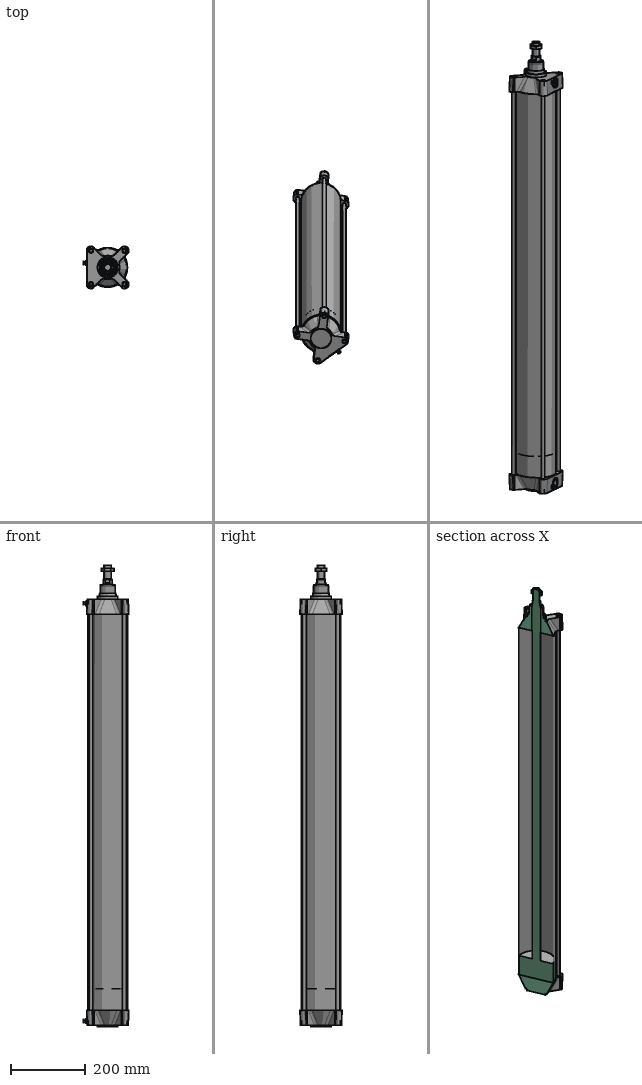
import cadquery as cq
import math

bore = 100.0
tube_diameter = 106.0
stroke = 1000.0
dead_length = 138.0
body_length = stroke + dead_length
head_length = 40.0
piston_length = dead_length - 2 * head_length

block_half = 52.0
corner_half = 56.5
corner_inner = 38.0
corner_radius = 12.0
corner_draft = 2.0
arm_half_width = 11.0
pocket_fillet = 8.0
cone_outer_radius = 32.0
tie_rod_spacing = 89.0
tie_rod_diameter = 10.0
mount_hole_diameter = 8.9
mount_hole_depth = 20.0
mount_recess_diameter = 12.0
mount_recess_depth = 1.0

port_diameter = 18.6
port_depth = 16.0
port_recess_diameter = 27.0
port_recess_depth = 2.5
port_y = -6.5
port_inset = 17.0
screw_y = 12.0
screw_inset = 11.0
screw_boss_diameter = 12.0
screw_boss_height = 2.0
screw_boss_root = 4.0
screw_shank_diameter = 6.0
screw_head_diameter = 8.9
screw_head_length = 1.5
screw_tip = 65.5

collar_diameter = 55.0
bottom_collar_height = 4.0
top_collar_height = 8.0
guide_diameter = 41.0
guide_shoulder = 16.0
guide_foot_top_diameter = 43.0
guide_foot_diameter = 46.0
guide_height = 38.0
guide_chamfer_width = 1.0
guide_chamfer_height = 4.0
wiper_diameter = 27.0
wiper_height = 39.5

rod_diameter = 25.0
rod_shoulder = 54.0
rod_shoulder_chamfer = 2.4
flats_width = 22.0
flats_length = 10.0
thread_diameter = 20.0
thread_length = 37.0
thread_chamfer = 1.0
nut_across_flats = 30.0
nut_thickness = 9.0
nut_chamfer_width = 2.3
nut_chamfer_height = 1.3
nut_end_gap = 8.0


def cylinder(diameter, z_start, z_end):
    return cq.Workplane("XY").workplane(offset=z_start).circle(diameter / 2).extrude(z_end - z_start)


def side_cylinder(diameter, y, z, x_start, x_end):
    plane = cq.Plane(origin=(x_start, y, z), xDir=(0, 1, 0), normal=(1, 0, 0))
    return cq.Workplane(plane).circle(diameter / 2).extrude(x_end - x_start)


def tie_rod_pattern(diameter, z_start, z_end):
    """Four cylinders on the tie rod centres."""
    return (
        cq.Workplane("XY")
        .workplane(offset=z_start)
        .rect(tie_rod_spacing, tie_rod_spacing, forConstruction=True)
        .vertices()
        .circle(diameter / 2)
        .extrude(z_end - z_start)
    )


def corner_boss():
    """Drafted square boss at the +X +Y corner, widest at the tube side (Z = head_length)."""
    size = corner_half - corner_inner
    centre = (corner_half + corner_inner) / 2
    return (
        cq.Workplane("XY")
        .workplane(offset=head_length)
        .center(centre, centre)
        .rect(size, size)
        .extrude(-head_length, taper=corner_draft)
        .edges(">(1, 1, 0)")
        .fillet(corner_radius)
    )


def side_pocket():
    """Pocket between two diagonal arms on the +X side, with a conical floor."""
    start = arm_half_width * math.sqrt(2)
    end = tube_diameter
    wedge = (
        cq.Workplane("XY")
        .moveTo(start, 0)
        .lineTo(end, end - start)
        .lineTo(end, start - end)
        .close()
        .extrude(head_length)
    )
    cone = cq.Workplane(
        cq.Solid.makeCone(cone_outer_radius, tube_diameter / 2, head_length)
    )
    return wedge.cut(cone).edges("%HYPERBOLA").fillet(pocket_fillet)


def make_head():
    """Bottom head: outer face at Z = 0, tube side at Z = head_length."""
    head = cq.Workplane("XY").rect(2 * block_half, 2 * block_half).extrude(head_length)
    head = head.union(cylinder(tube_diameter, 0, head_length))
    for turn in range(4):
        head = head.union(corner_boss().rotate((0, 0, 0), (0, 0, 1), 90 * turn))
    port_pad = (
        cq.Workplane("XY")
        .workplane(offset=head_length)
        .center(-corner_half / 2, 0)
        .rect(corner_half, 2 * (corner_half - corner_radius))
        .extrude(-head_length, taper=corner_draft)
    )
    head = head.union(port_pad)
    for angle in (-90, 0, 90):
        head = head.cut(side_pocket().rotate((0, 0, 0), (0, 0, 1), angle))

    for diameter, depth in (
        (mount_hole_diameter, mount_hole_depth),
        (mount_recess_diameter, mount_recess_depth),
    ):
        head = head.cut(tie_rod_pattern(diameter, 0, depth))

    port = side_cylinder(port_diameter, port_y, port_inset, -corner_half, port_depth - corner_half)
    port_recess = side_cylinder(
        port_recess_diameter, port_y, port_inset, -corner_half, port_recess_depth - corner_half
    )
    head = head.cut(port).cut(port_recess)

    boss_end = -corner_half - screw_boss_height
    for diameter, x_start, x_end in (
        (screw_boss_diameter, boss_end, screw_boss_root - corner_half),
        (screw_shank_diameter, -screw_tip, boss_end),
        (screw_head_diameter, -screw_tip, screw_head_length - screw_tip),
    ):
        head = head.union(side_cylinder(diameter, screw_y, screw_inset, x_start, x_end))
    return head


def make_housing():
    bottom_head = make_head()
    top_head = make_head().mirror("XY").translate((0, 0, body_length))
    tube = cylinder(tube_diameter, head_length, body_length - head_length)
    tie_rods = tie_rod_pattern(tie_rod_diameter, head_length, body_length - head_length)
    bottom_collar = cylinder(collar_diameter, -bottom_collar_height, 0)
    guide = (
        cq.Workplane("XZ")
        .moveTo(0, body_length)
        .lineTo(collar_diameter / 2, body_length)
        .lineTo(collar_diameter / 2, body_length + top_collar_height)
        .lineTo(guide_foot_diameter / 2, body_length + top_collar_height)
        .lineTo(guide_foot_top_diameter / 2, body_length + guide_shoulder)
        .lineTo(guide_diameter / 2, body_length + guide_shoulder)
        .lineTo(guide_diameter / 2, body_length + guide_height - guide_chamfer_height)
        .lineTo(guide_diameter / 2 - guide_chamfer_width, body_length + guide_height)
        .lineTo(wiper_diameter / 2, body_length + guide_height)
        .lineTo(wiper_diameter / 2, body_length + wiper_height)
        .lineTo(0, body_length + wiper_height)
        .close()
        .revolve(360, (0, 0, 0), (0, 1, 0))
    )
    housing = tube.union(tie_rods).union(bottom_head).union(top_head)
    housing = housing.union(bottom_collar).union(guide)
    chamber = cylinder(bore, head_length, body_length - head_length)
    rod_hole = cylinder(rod_diameter, body_length - head_length, body_length + wiper_height)
    return housing.cut(chamber).cut(rod_hole)


def make_piston_rod():
    piston_top = head_length + piston_length
    shoulder = body_length + rod_shoulder
    piston = cylinder(bore, head_length, piston_top)
    rod = cylinder(rod_diameter, piston_top, shoulder).faces(">Z").chamfer(rod_shoulder_chamfer)
    thread = cylinder(thread_diameter, shoulder, shoulder + thread_length)
    thread = thread.faces(">Z").chamfer(thread_chamfer)
    for side in (-1, 1):
        flat = (
            cq.Workplane("XY")
            .workplane(offset=shoulder - flats_length)
            .center(0, side * (flats_width / 2 + rod_diameter / 2))
            .rect(2 * rod_diameter, rod_diameter)
            .extrude(flats_length)
        )
        rod = rod.cut(flat)
    return piston.union(rod).union(thread)


def make_nut():
    """Hexagon nut with chamfered ends and corners on the X axis."""
    rod_end = body_length + rod_shoulder + thread_length
    bottom = rod_end - nut_end_gap - nut_thickness
    across_corners = nut_across_flats / math.cos(math.pi / 6)
    hexagon = (
        cq.Workplane("XY")
        .workplane(offset=bottom)
        .polygon(6, across_corners)
        .circle(thread_diameter / 2)
        .extrude(nut_thickness)
    )
    rounding = (
        cylinder(across_corners, bottom, bottom + nut_thickness)
        .faces("<Z or >Z")
        .chamfer(nut_chamfer_height, nut_chamfer_width)
    )
    return hexagon.intersect(rounding)


housing = make_housing()
piston_rod = make_piston_rod()
nut = make_nut()

result = cq.Compound.makeCompound([housing.val(), piston_rod.val(), nut.val()])